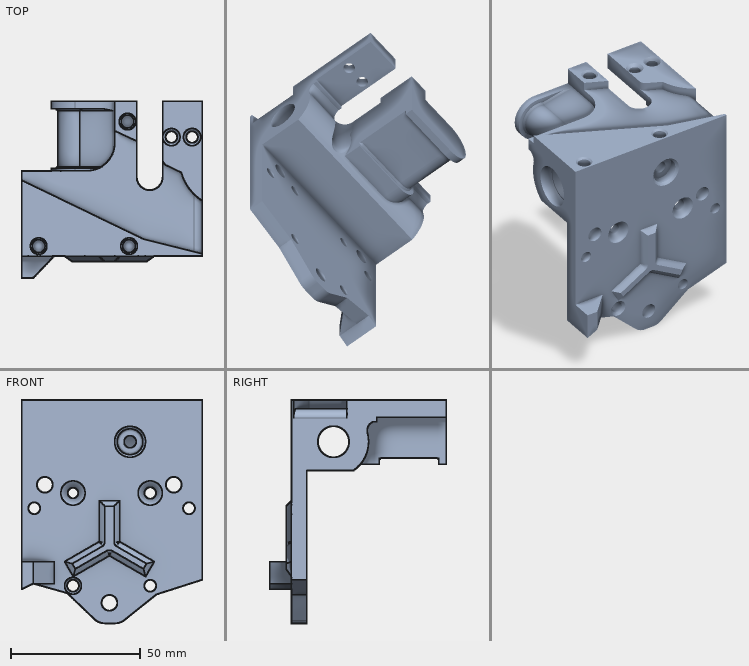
import cadquery as cq
import math


width = 70.0
depth = 60.0
total_height = 86.61
wall_thickness = 6.0
deck_thickness = 6.8
recess_depth = 3.5
body_depth = 33.0

wall_left_z = -73.4
tab_inner_x = 4.5
tab_bottom_z = -71.2
tongue_left = (17.7, -74.9)
tongue_right = (52.2, -75.4)
tongue_bottom_left_x = 29.9
tongue_bottom_right_x = 38.2
tongue_radius = 6.0
wall_right_z = -69.7

tab_reach = 8.5
tab_outer_x = 12.6
tab_top_z = -62.7

bore_y = 16.25
bore_z = -16.25
bore_diameter = 15.8
bore_depth = 60.0
bore_mouth_diameter = 16.6
bore_mouth_depth = 5.2
bore_exit_diameter = 12.0
housing_radius = 13.6
housing_bottom_z = -27.4
housing_step_y = 31.6
housing_step_z = -8.5
housing_notch_radius = 3.9

notch_x = 36.1
notch_radius = 11.0
slot_x = 49.6
slot_width = 9.9
slot_end_y = 25.6
floor_edge_radius = 3.4
front_land_left_y = 29.4
front_land_knee = (47.2, 6.6)
front_land_right_y = 0.9
rear_land_left_y = 48.5
rear_land_slot_y = 44.5
side_land_slot_y = 37.5
side_land_bend = (55.3, 35.7)
side_land_bend_end = (56.6, 34.9)
side_land_corner = (61.8, 32.4)
side_land_middle = (64.9, 26.1)
side_land_end_y = 21.4

spool_x = 20.55
spool_z = -15.9
flange_radius = 9.1
flange_thickness = 3.0
groove_front_y = 34.0
spool_core_radius = 6.65
root_chamfer = 0.7
slope_start_angle = math.radians(17.0)
slope_end_x = 35.2

boss_x = 34.0
boss_z = -56.5
boss_height = 2.1
boss_taper = 46.0
upright_width = 7.9
upright_length = 17.5
leg_width = 6.7
leg_length = 18.1
leg_angle = 30.0

dowel_diameter = 6.0
dowel_points = [(9.0, -32.9), (58.9, -32.9), (34.0, -78.6)]
screw_diameter = 4.5
side_screw_points = [(4.9, -42.0), (64.8, -42.0)]
screw_left_x = 19.9
screw_right_x = 49.8
upper_screw_z = -36.1
lower_screw_z = -72.0
upper_left_diameter = 4.0
upper_right_diameter = 4.4
upper_sink_diameter = 9.4
lower_sink_diameter = 6.5

access_x = 42.0
access_z = -16.25
access_diameter = 10.0
access_mouth_diameter = 12.0
access_depth = 4.0
access_pilot_diameter = 4.7

blind_diameter = 5.0
blind_depth = 6.0
blind_mouth_diameter = 6.4
blind_points = [(6.6, 3.9), (41.6, 3.9), (41.0, 52.1)]
deck_through_diameter = 4.4
deck_through_mouth_diameter = 6.7
deck_through_points = [(58.0, 46.1), (66.0, 46.1)]


def cylinder_x(diameter, x_start, length):
    """Cylinder on the bore axis, running along +X."""
    start = cq.Vector(x_start, bore_y, bore_z)
    return cq.Workplane(cq.Solid.makeCylinder(diameter / 2, length, start, cq.Vector(1, 0, 0)))


def cylinder_y(diameter, x, y_start, z, length):
    """Cylinder running along +Y."""
    start = cq.Vector(x, y_start, z)
    return cq.Workplane(cq.Solid.makeCylinder(diameter / 2, length, start, cq.Vector(0, 1, 0)))


def cylinder_z(diameter, x, y, length):
    """Cylinder running down from the top face."""
    start = cq.Vector(x, y, 0)
    return cq.Workplane(cq.Solid.makeCylinder(diameter / 2, length, start, cq.Vector(0, 0, -1)))


def sink(mouth_diameter, hole_diameter, start, direction):
    """Cone with 45 degree sides that narrows from a hole's mouth to its bore."""
    cone_depth = (mouth_diameter - hole_diameter) / 2
    cone = cq.Solid.makeCone(mouth_diameter / 2, hole_diameter / 2, cone_depth, start, direction)
    return cq.Workplane(cone)


def front_sink(mouth_diameter, hole_diameter, x, z):
    return sink(mouth_diameter, hole_diameter, cq.Vector(x, 0, z), cq.Vector(0, 1, 0))


def top_sink(mouth_diameter, hole_diameter, x, y):
    return sink(mouth_diameter, hole_diameter, cq.Vector(x, y, 0), cq.Vector(0, 0, -1))


def xz_prism(sketch, y_start, y_end):
    """Extrude an outline drawn on the XZ plane from y_start to y_end."""
    return sketch.extrude(y_start - y_end).translate((0, y_start, 0))


def make_front_wall():
    outline = (
        cq.Workplane("XZ")
        .moveTo(0, 0)
        .lineTo(0, wall_left_z)
        .lineTo(tab_inner_x, tab_bottom_z)
        .lineTo(*tongue_left)
        .lineTo(tongue_bottom_left_x, -total_height)
        .lineTo(tongue_bottom_right_x, -total_height)
        .lineTo(*tongue_right)
        .lineTo(width, wall_right_z)
        .lineTo(width, 0)
        .close()
    )
    wall = xz_prism(outline, 0, wall_thickness)
    return wall.faces("<Z").edges("|Y").fillet(tongue_radius)


def make_tab():
    """Block in front of the wall with a slanted inner side and the wall's lower edge."""
    plan = [(0, 0), (0, -tab_reach), (tab_inner_x, -tab_reach), (tab_outer_x, 0)]
    block = cq.Workplane("XY").workplane(offset=wall_left_z).polyline(plan).close()
    block = block.extrude(tab_top_z - wall_left_z)
    face = (
        cq.Workplane("XZ")
        .moveTo(0, tab_top_z)
        .lineTo(0, wall_left_z)
        .lineTo(tab_inner_x, tab_bottom_z)
        .lineTo(tab_outer_x, tab_bottom_z)
        .lineTo(tab_outer_x, tab_top_z)
        .close()
    )
    return block.intersect(xz_prism(face, -tab_reach, 0))


def housing_point(z):
    """Point on the rear side of the housing's round at height z, as (y, z)."""
    return (bore_y + math.sqrt(housing_radius**2 - (z - bore_z) ** 2), z)


def make_housing():
    round_top = housing_point(housing_step_z - housing_notch_radius)
    round_middle = housing_point((housing_step_z + housing_bottom_z) / 2)
    round_end = housing_point(housing_bottom_z)
    return (
        cq.Workplane("YZ")
        .moveTo(0, 0)
        .lineTo(body_depth, 0)
        .lineTo(body_depth, housing_step_z)
        .lineTo(housing_step_y, housing_step_z)
        .radiusArc(round_top, -housing_notch_radius)
        .threePointArc(round_middle, round_end)
        .lineTo(0, housing_bottom_z)
        .close()
        .extrude(width)
    )


def make_deck():
    return (
        cq.Workplane("XY")
        .moveTo(0, 0)
        .lineTo(0, body_depth)
        .lineTo(notch_x - notch_radius, body_depth)
        .radiusArc((notch_x, body_depth + notch_radius), -notch_radius)
        .lineTo(notch_x, depth)
        .lineTo(width, depth)
        .lineTo(width, 0)
        .close()
        .extrude(-deck_thickness)
    )


def spool_flange(y_start, y_end):
    """Round flange that runs straight to the slot side, level with the deck's underside."""
    slot_side = slot_x - slot_width / 2
    disc = cylinder_y(2 * flange_radius, spool_x, y_start, spool_z, y_end - y_start)
    web = cq.Workplane("XY").box(
        slot_side - spool_x, y_end - y_start, 2 * flange_radius, centered=False
    )
    return disc.union(web.translate((spool_x, y_start, spool_z - flange_radius)))


def spool_outline(radius):
    """Round outline whose top slopes up to meet the deck's underside, drawn on the XZ plane."""
    slope_start_x = spool_x + radius * math.sin(slope_start_angle)
    slope_start_z = spool_z + radius * math.cos(slope_start_angle)
    slope_end_z = -deck_thickness + radius - spool_core_radius
    slot_side = slot_x - slot_width / 2
    return (
        cq.Workplane("XZ")
        .moveTo(slope_start_x, slope_start_z)
        .threePointArc((spool_x - radius, spool_z), (spool_x, spool_z - radius))
        .lineTo(slot_side, spool_z - radius)
        .lineTo(slot_side, slope_end_z)
        .lineTo(slope_end_x, slope_end_z)
        .close()
    )


def spool_root():
    """Chamfer where the core meets a flange: widest at Y = 0 and narrowing towards -Y."""
    slot_side = slot_x - slot_width / 2
    root = spool_outline(spool_core_radius + root_chamfer).extrude(root_chamfer, taper=45)
    below_deck = cq.Workplane("XY").box(slot_side, 2 * root_chamfer, total_height, centered=False)
    return root.intersect(below_deck.translate((0, -root_chamfer, -total_height - deck_thickness)))


def make_spool():
    rear_flange_y = depth - flange_thickness
    spool = xz_prism(spool_outline(spool_core_radius), groove_front_y, rear_flange_y)
    spool = spool.union(spool_flange(rear_flange_y, depth))
    spool = spool.union(spool_flange(bore_y, groove_front_y))
    spool = spool.union(spool_root().translate((0, rear_flange_y, 0)))
    return spool.union(spool_root().mirror("XZ").translate((0, groove_front_y, 0)))


def make_boss():
    """Three tapered arms: one upright and two legs pointing down and outwards."""
    upright = cq.Workplane("XZ").rect(upright_width, upright_length).extrude(boss_height)
    arms = upright.translate((0, 0, upright_length / 2))
    for angle in (-leg_angle, 180 + leg_angle):
        leg = cq.Workplane("XZ").rect(leg_length, leg_width).extrude(boss_height)
        leg = leg.translate((leg_length / 2, 0, 0))
        arms = arms.union(leg.rotate((0, 0, 0), (0, 1, 0), -angle))
    outline = arms.faces(">Y").wires().val()
    boss = cq.Workplane("XZ").add(outline).toPending().extrude(boss_height, taper=boss_taper)
    return boss.translate((boss_x, 0, boss_z))


def make_recess():
    """Lowered floor between the front, rear and side lands, rounded down along the +X side."""
    recess = (
        cq.Workplane("XY")
        .moveTo(0, front_land_left_y)
        .lineTo(*front_land_knee)
        .lineTo(width, front_land_right_y)
        .lineTo(width, side_land_end_y)
        .threePointArc(side_land_middle, side_land_corner)
        .lineTo(*side_land_bend_end)
        .threePointArc(side_land_bend, (slot_x + slot_width / 2, side_land_slot_y))
        .lineTo(slot_x - slot_width / 2, rear_land_slot_y)
        .lineTo(notch_x, rear_land_left_y)
        .lineTo(0, rear_land_left_y)
        .close()
        .extrude(-recess_depth - floor_edge_radius)
    )
    floor = (
        cq.Workplane("XZ")
        .moveTo(0, -recess_depth)
        .lineTo(width - floor_edge_radius, -recess_depth)
        .radiusArc((width, -recess_depth - floor_edge_radius), floor_edge_radius)
        .lineTo(width, 0)
        .lineTo(0, 0)
        .close()
    )
    return recess.intersect(xz_prism(floor, 0, depth))


def make_slot():
    radius = slot_width / 2
    center_y = slot_end_y + radius
    straight = cq.Workplane("XY").box(slot_width, depth - center_y, total_height, centered=False)
    straight = straight.translate((slot_x - radius, center_y, -total_height))
    return straight.union(cylinder_z(slot_width, slot_x, center_y, total_height))


def cut_bore(part):
    part = part.cut(cylinder_x(bore_exit_diameter, 0, width))
    part = part.cut(cylinder_x(bore_diameter, 0, bore_depth))
    return part.cut(cylinder_x(bore_mouth_diameter, 0, bore_mouth_depth))


def cut_access_hole(part):
    part = part.cut(cylinder_y(access_pilot_diameter, access_x, 0, access_z, bore_y))
    part = part.cut(cylinder_y(access_diameter, access_x, 0, access_z, access_depth))
    return part.cut(front_sink(access_mouth_diameter, access_diameter, access_x, access_z))


def cut_wall_holes(part):
    for x, z in dowel_points:
        part = part.cut(cylinder_y(dowel_diameter, x, 0, z, wall_thickness))
    for x, z in side_screw_points + [(screw_right_x, lower_screw_z)]:
        part = part.cut(cylinder_y(screw_diameter, x, 0, z, wall_thickness))
    sunk_screws = [
        (screw_left_x, upper_screw_z, upper_left_diameter, upper_sink_diameter),
        (screw_right_x, upper_screw_z, upper_right_diameter, upper_sink_diameter),
        (screw_left_x, lower_screw_z, screw_diameter, lower_sink_diameter),
    ]
    for x, z, diameter, mouth_diameter in sunk_screws:
        part = part.cut(cylinder_y(diameter, x, 0, z, wall_thickness))
        part = part.cut(front_sink(mouth_diameter, diameter, x, z))
    return part


def cut_top_holes(part):
    for x, y in blind_points:
        part = part.cut(cylinder_z(blind_diameter, x, y, blind_depth))
        part = part.cut(top_sink(blind_mouth_diameter, blind_diameter, x, y))
    for x, y in deck_through_points:
        part = part.cut(cylinder_z(deck_through_diameter, x, y, deck_thickness))
        part = part.cut(top_sink(deck_through_mouth_diameter, deck_through_diameter, x, y))
    return part


body = make_front_wall().union(make_housing()).union(make_deck()).union(make_spool())
body = body.cut(make_recess()).cut(make_slot())
body = cut_bore(body)
body = cut_access_hole(body)
body = body.union(make_tab()).union(make_boss())
body = cut_wall_holes(body)
result = cut_top_holes(body)